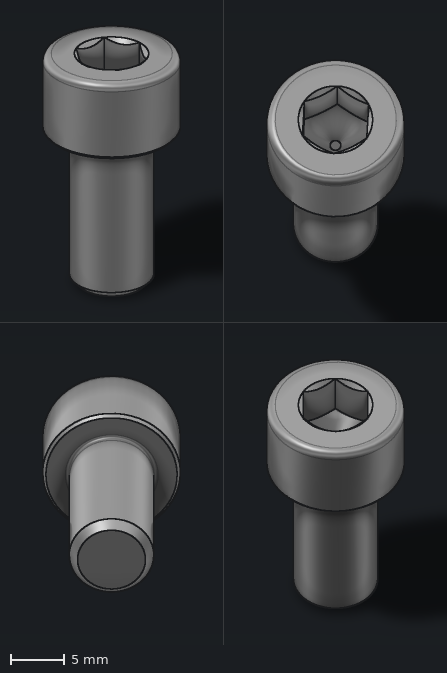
import cadquery as cq
import math

total_length = 24.0
shank_diameter = 8.0
head_diameter = 13.0
head_height = shank_diameter
shank_length = total_length - head_height
tip_chamfer = 0.8

head_top_radius = 0.8
head_bottom_chamfer = 0.3
neck_radius = 0.38

hex_across_flats = 6.07
hex_across_corners = hex_across_flats / math.cos(math.pi / 6)
hex_depth = 4.0
socket_mouth_angle = 45.0
socket_floor_angle = 30.0
socket_floor_flat_diameter = 1.0


def make_body():
    """Revolve the head, filleted neck and chamfered shank."""
    shank_radius = shank_diameter / 2
    head_radius = head_diameter / 2
    arc_offset = head_top_radius * (1 - math.sqrt(0.5))
    neck_offset = neck_radius * (1 - math.sqrt(0.5))
    profile = (
        cq.Workplane("XZ")
        .moveTo(0, -shank_length)
        .lineTo(shank_radius - tip_chamfer, -shank_length)
        .lineTo(shank_radius, -shank_length + tip_chamfer)
        .lineTo(shank_radius, -neck_radius)
        .threePointArc(
            (shank_radius + neck_offset, -neck_offset),
            (shank_radius + neck_radius, 0),
        )
        .lineTo(head_radius - head_bottom_chamfer, 0)
        .lineTo(head_radius, head_bottom_chamfer)
        .lineTo(head_radius, head_height - head_top_radius)
        .threePointArc(
            (head_radius - arc_offset, head_height - arc_offset),
            (head_radius - head_top_radius, head_height),
        )
        .lineTo(0, head_height)
        .close()
    )
    return profile.revolve(360, (0, 0, 0), (0, 1, 0))


def make_socket():
    """Hexagon with corners on X, a conical floor and a chamfered round mouth."""
    corner_radius = hex_across_corners / 2
    flat_radius = socket_floor_flat_diameter / 2
    floor_drop = (corner_radius - flat_radius) * math.tan(math.radians(socket_floor_angle))
    mouth_drop = corner_radius * math.tan(math.radians(socket_mouth_angle))
    floor_edge = head_height - hex_depth
    floor_bottom = floor_edge - floor_drop

    hexagon = (
        cq.Workplane("XY", origin=(0, 0, floor_bottom))
        .polygon(6, hex_across_corners)
        .extrude(head_height - floor_bottom)
    )
    floor_limit = (
        cq.Workplane("XZ")
        .moveTo(0, floor_bottom)
        .lineTo(flat_radius, floor_bottom)
        .lineTo(corner_radius, floor_edge)
        .lineTo(corner_radius, head_height)
        .lineTo(0, head_height)
        .close()
        .revolve(360, (0, 0, 0), (0, 1, 0))
    )
    mouth = (
        cq.Workplane("XZ")
        .moveTo(0, head_height)
        .lineTo(corner_radius, head_height)
        .lineTo(0, head_height - mouth_drop)
        .close()
        .revolve(360, (0, 0, 0), (0, 1, 0))
    )
    return hexagon.intersect(floor_limit).union(mouth)


result = make_body().cut(make_socket())